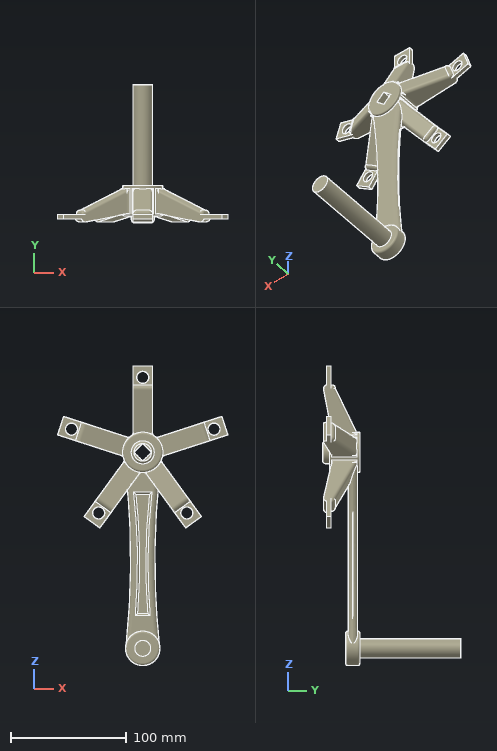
import cadquery as cq
import math


hub_radius = 17.5
hub_depth = 26.5
hub_front_fillet = 2.0
hub_back_fillet = 1.0
boss_radius = 10.0
boss_depth = 32.5
boss_edge_fillet = 3.0
counterbore_radius = 7.6
counterbore_depth = 2.0
square_half_diagonal = 7.5

arm_count = 5
arm_width = 17.0
arm_tip_radius = 75.0
arm_start_depth = 2.5
arm_start_radius = 16.6
arm_back_slope = 0.485
arm_back_fillet = 3.4
ledge_start_radius = 55.4
ledge_corner_fillet = 3.0
shoulder_radius = 58.6
crest_radius = 54.0
crest_depth = 31.6
arm_front_slope = 0.19
tab_back_depth = 25.0
tab_front_depth = 29.2
bolt_circle_radius = 65.0
bolt_hole_diameter = 10.2
web_fillet = 4.0

crank_length = 170.0
crank_back_depth = 2.1
crank_front_depth = 10.2
crank_edge_fillet = 3.9
crank_waist_drop = 103.0
crank_root_half_width = 17.0
crank_waist_half_width = 10.7
crank_end_half_width = 14.9

pocket_top_drop = 34.5
pocket_waist_drop = 90.0
pocket_bottom_drop = 141.7
pocket_top_half_width = 8.0
pocket_waist_half_width = 4.6
pocket_bottom_half_width = 6.5
pocket_wall_run = 1.9
pocket_depth = 3.0

pedal_boss_radius = 15.0
pedal_boss_depth = 12.5
pedal_boss_fillet = 2.0
pin_radius = 8.5
pin_length = 87.5
end_mark_radius = 6.9
end_mark_depth = 0.2


def front_plane(depth):
    """Sketch plane parallel to XZ at a depth, with its normal towards -Y."""
    return cq.Workplane("XZ", origin=(0, -depth, 0))


def make_hub():
    flange = front_plane(0).circle(hub_radius).extrude(hub_depth)
    flange = flange.faces("<Y").edges().fillet(hub_front_fillet)
    flange = flange.faces(">Y").edges().fillet(hub_back_fillet)
    boss = front_plane(0).circle(boss_radius).extrude(boss_depth)
    boss = boss.faces("<Y").edges().fillet(boss_edge_fillet)
    return flange.union(boss)


def make_arm():
    """Spider arm pointing along +Z: a tapering rib that ends in a flat bolt tab."""
    half_width = arm_width / 2
    ledge_depth = arm_start_depth + arm_back_slope * (ledge_start_radius - arm_start_radius)
    root_front_depth = crest_depth - arm_front_slope * crest_radius
    rib = (
        cq.Workplane("YZ")
        .moveTo(-arm_start_depth, 0)
        .lineTo(-root_front_depth, 0)
        .lineTo(-tab_front_depth, shoulder_radius)
        .lineTo(-ledge_depth, shoulder_radius)
        .lineTo(-ledge_depth, ledge_start_radius)
        .lineTo(-arm_start_depth, arm_start_radius)
        .close()
        .extrude(half_width, both=True)
    )
    slope_middle_depth = (ledge_depth + arm_start_depth) / 2
    slope_middle_radius = (ledge_start_radius + arm_start_radius) / 2
    ledge_middle_radius = (ledge_start_radius + shoulder_radius) / 2
    for side in (-half_width, half_width):
        slope_edge = cq.selectors.NearestToPointSelector((side, -slope_middle_depth, slope_middle_radius))
        ledge_edge = cq.selectors.NearestToPointSelector((side, -ledge_depth, ledge_middle_radius))
        rib = rib.edges(cq.selectors.SumSelector(slope_edge, ledge_edge)).fillet(arm_back_fillet)
    ledge_end = cq.selectors.NearestToPointSelector((0, -ledge_depth, shoulder_radius))
    rib = rib.edges(ledge_end).fillet(ledge_corner_fillet)

    tab = (
        cq.Workplane("YZ")
        .moveTo(-root_front_depth, 0)
        .lineTo(-crest_depth, crest_radius)
        .tangentArcPoint((-tab_front_depth, shoulder_radius), relative=False)
        .lineTo(-tab_front_depth, arm_tip_radius)
        .lineTo(-tab_back_depth, arm_tip_radius)
        .lineTo(-tab_back_depth, crest_radius)
        .close()
        .extrude(half_width, both=True)
    )
    hole = (
        front_plane(tab_back_depth)
        .center(0, bolt_circle_radius)
        .circle(bolt_hole_diameter / 2)
        .extrude(tab_front_depth - tab_back_depth)
    )
    return rib.union(tab).cut(hole)


def make_web():
    """Filler between the arm along +Z and the next arm, rounding the corner between them."""
    half_pitch = math.pi / arm_count
    corner_distance = arm_width / 2 / math.sin(half_pitch)
    tangent_radius = (arm_width / 2 + web_fillet) / math.tan(half_pitch)
    arc_distance = corner_distance + web_fillet / math.sin(half_pitch) - web_fillet

    tangent_x = tangent_radius * math.sin(half_pitch) - arm_width / 2 * math.cos(half_pitch)
    tangent_z = tangent_radius * math.cos(half_pitch) + arm_width / 2 * math.sin(half_pitch)
    web_front_depth = crest_depth - arm_front_slope * (crest_radius - tangent_radius)
    web = (
        front_plane(arm_start_depth)
        .moveTo(0, 0)
        .lineTo(-tangent_x, tangent_z)
        .threePointArc((0, arc_distance), (tangent_x, tangent_z))
        .close()
        .extrude(web_front_depth - arm_start_depth)
    )
    return web.rotate((0, 0, 0), (0, 1, 0), math.degrees(half_pitch))


def mirrored(point):
    """Point reflected to the other side of the Z axis."""
    return (-point[0], point[1])


def waisted_outline(plane, top, waist, bottom):
    """Closed outline, symmetric about Z, whose curved sides pass through a narrow waist."""
    return (
        plane.moveTo(*top)
        .spline([waist, bottom], includeCurrent=True)
        .lineTo(*mirrored(bottom))
        .spline([mirrored(waist), mirrored(top)], includeCurrent=True)
        .close()
    )


def make_crank():
    top = (crank_root_half_width, 0)
    waist = (crank_waist_half_width, -crank_waist_drop)
    bottom = (crank_end_half_width, -crank_length)
    outline = waisted_outline(front_plane(crank_back_depth), top, waist, bottom)
    crank = outline.extrude(crank_front_depth - crank_back_depth)
    side_faces = crank.faces("not (|Y or |Z)")
    return side_faces.edges("not |Y").edges("not |X").fillet(crank_edge_fillet)


def make_pocket():
    """Cutter for the waisted pocket, whose walls lean inwards towards the floor."""
    top = (pocket_top_half_width, -pocket_top_drop)
    waist = (pocket_waist_half_width, -pocket_waist_drop)
    bottom = (pocket_bottom_half_width, -pocket_bottom_drop)
    wall_angle = math.degrees(math.atan(pocket_wall_run / pocket_depth))
    outline = waisted_outline(front_plane(crank_front_depth), top, waist, bottom)
    return outline.extrude(-pocket_depth, taper=wall_angle)


def make_pedal_end():
    boss = front_plane(0).circle(pedal_boss_radius).extrude(pedal_boss_depth)
    boss = boss.faces("<Y or >Y").edges().fillet(pedal_boss_fillet)
    pin = front_plane(0).circle(pin_radius).extrude(-pin_length)
    end_mark = front_plane(pedal_boss_depth - end_mark_depth).circle(end_mark_radius).extrude(end_mark_depth)
    return boss.union(pin).cut(end_mark).translate((0, 0, -crank_length))


def make_spindle_hole():
    """Cutter for the square through hole, corners on the X and Z axes, and its counterbore."""
    square = front_plane(0).polygon(4, 2 * square_half_diagonal).extrude(boss_depth)
    counterbore_start = boss_depth - counterbore_depth
    counterbore = front_plane(counterbore_start).circle(counterbore_radius).extrude(counterbore_depth)
    return square.union(counterbore)


result = make_hub()
arm = make_arm()
web = make_web()
for index in range(arm_count):
    angle = index * 360 / arm_count
    for piece in (arm, web):
        result = result.union(piece.rotate((0, 0, 0), (0, 1, 0), angle))
result = result.union(make_crank().cut(make_pocket()))
result = result.union(make_pedal_end())
result = result.cut(make_spindle_hole())